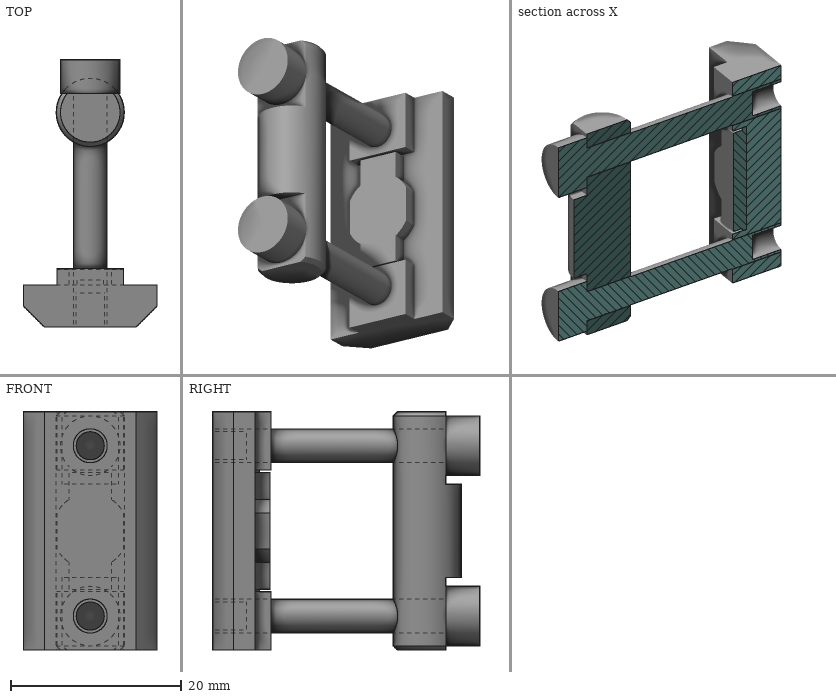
import cadquery as cq
import math

TOTAL_DEPTH = 31.4
HEIGHT = 28.0

NUT_WIDTH = 15.7
NUT_BEVEL = 2.45
FLANGE_TOP = 4.95
TONGUE_WIDTH = NUT_WIDTH / 2
TONGUE_TOP = 6.88
POCKET_LENGTH = 14.25

SCREW_SPACING = 20.0
SHANK_DIAMETER = 4.0
HEAD_DIAMETER = 7.0
HEAD_LENGTH = 4.0
TIP_BORE_DIAMETER = 3.3
TIP_BORE_DEPTH = SHANK_DIAMETER
HEAD_SEAT = TOTAL_DEPTH - HEAD_LENGTH

BARREL_DIAMETER = 8.0
BARREL_CHAMFER = 0.5
FLAT_OFFSET = 2.2
BARREL_Y = HEAD_SEAT - FLAT_OFFSET
ROUND_LENGTH = 11.0
FLAT_LENGTH = (HEIGHT - ROUND_LENGTH) / 2

INSERT_LENGTH = 13.75
INSERT_TOP = 6.75
HUB_RADIUS = 4.45
HUB_END_Z = 3.7
INSERT_WIDTH = 2 * math.sqrt(HUB_RADIUS**2 - HUB_END_Z**2)
TAB_TOP = 5.53
TAB_WIDTH = 3.15

SCREW_HEIGHTS = [-SCREW_SPACING / 2, SCREW_SPACING / 2]


def rod_along_y(diameter, y_start, y_end, z):
    """Cylinder on the middle plane, parallel to Y."""
    return cq.Workplane(
        cq.Solid.makeCylinder(diameter / 2, y_end - y_start, cq.Vector(0, y_start, z), cq.Vector(0, 1, 0))
    )


def block(width, y_start, y_end, height, z=0.0):
    """Box centred on X and on the given Z, spanning the given Y range."""
    return cq.Workplane("XY").box(width, y_end - y_start, height).translate((0, (y_start + y_end) / 2, z))


def make_nut():
    half_width = NUT_WIDTH / 2
    flange = (
        cq.Workplane("XY", origin=(0, 0, -HEIGHT / 2))
        .moveTo(-half_width + NUT_BEVEL, 0)
        .lineTo(half_width - NUT_BEVEL, 0)
        .lineTo(half_width, NUT_BEVEL)
        .lineTo(half_width, FLANGE_TOP)
        .lineTo(-half_width, FLANGE_TOP)
        .lineTo(-half_width, NUT_BEVEL)
        .close()
        .extrude(HEIGHT)
    )
    tongue = block(TONGUE_WIDTH, FLANGE_TOP, TONGUE_TOP, HEIGHT)
    pocket = block(TONGUE_WIDTH, FLANGE_TOP, TONGUE_TOP, POCKET_LENGTH)
    nut = flange.union(tongue.cut(pocket))
    for z in SCREW_HEIGHTS:
        nut = nut.cut(rod_along_y(SHANK_DIAMETER, 0, TONGUE_TOP, z))
    return nut.solids()


def make_insert():
    bar = block(INSERT_WIDTH, FLANGE_TOP, INSERT_TOP, INSERT_LENGTH)
    hub = rod_along_y(2 * HUB_RADIUS, FLANGE_TOP, INSERT_TOP, 0)
    hub = hub.intersect(block(TONGUE_WIDTH, FLANGE_TOP, INSERT_TOP, INSERT_LENGTH))
    tabs = block(TAB_WIDTH, FLANGE_TOP, TAB_TOP, POCKET_LENGTH)
    return bar.union(hub).union(tabs).solids()


def make_barrel():
    barrel = (
        cq.Workplane("XY", origin=(0, BARREL_Y, -HEIGHT / 2))
        .circle(BARREL_DIAMETER / 2)
        .extrude(HEIGHT)
        .faces("<Z or >Z")
        .edges()
        .chamfer(BARREL_CHAMFER)
    )
    flat_z = (ROUND_LENGTH + FLAT_LENGTH) / 2
    for z in (-flat_z, flat_z):
        barrel = barrel.cut(block(BARREL_DIAMETER, HEAD_SEAT, TOTAL_DEPTH, FLAT_LENGTH, z))
    for z in SCREW_HEIGHTS:
        barrel = barrel.cut(rod_along_y(SHANK_DIAMETER, 0, TOTAL_DEPTH, z))
    return barrel.solids()


def make_screw(z):
    shank = rod_along_y(SHANK_DIAMETER, 0, HEAD_SEAT, z)
    head = rod_along_y(HEAD_DIAMETER, HEAD_SEAT, TOTAL_DEPTH, z)
    tip_bore = rod_along_y(TIP_BORE_DIAMETER, 0, TIP_BORE_DEPTH, z)
    return shank.union(head).cut(tip_bore).solids()


nut = make_nut()
insert = make_insert()
barrel = make_barrel()
screws = [make_screw(z) for z in SCREW_HEIGHTS]

result = cq.Compound.makeCompound([nut.val(), insert.val(), barrel.val(), *[screw.val() for screw in screws]])